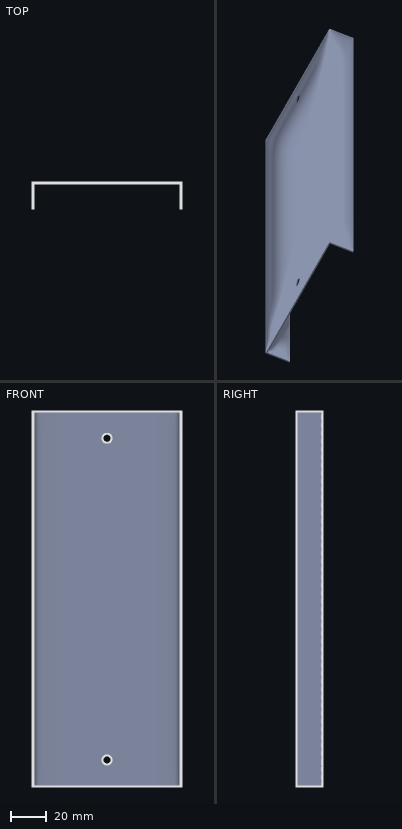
import cadquery as cq

width = 83.6
depth = 14.8
height = 210.0
sheet_thickness = 0.8

hole_diameter = 5.0
hole_end_distance = 15.0


def make_channel():
    """U-shaped sheet channel: web at +Y, flanges pointing to -Y, centred on the origin."""
    outer = cq.Workplane("XY").box(width, depth, height)
    inner = (
        cq.Workplane("XY")
        .box(width - 2 * sheet_thickness, depth, height)
        .translate((0, -sheet_thickness, 0))
    )
    return outer.cut(inner)


def make_hole_cutters():
    """Cylinders along Y, one near each end of the web."""
    hole_offset = height / 2 - hole_end_distance
    return (
        cq.Workplane("XZ")
        .pushPoints([(0, -hole_offset), (0, hole_offset)])
        .circle(hole_diameter / 2)
        .extrude(depth, both=True)
    )


result = make_channel().cut(make_hole_cutters())